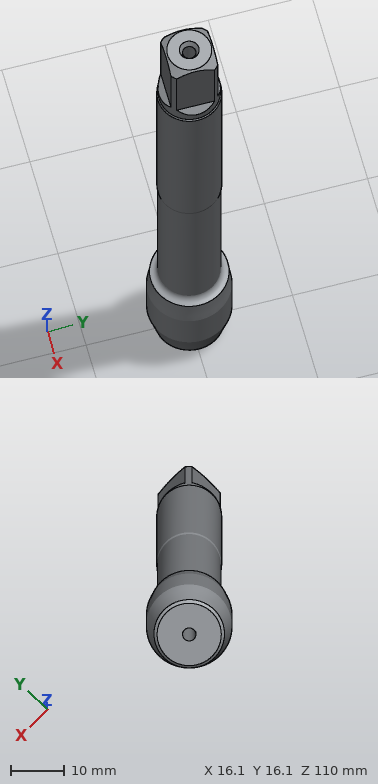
import cadquery as cq

total_length = 110.0
head_length = 20.0

head_radius = 16.06 / 2
head_tip_radius = 6.0
tip_chamfer_height = 0.5
lead_start_radius = 6.6
lead_top_z = 6.4
taper_bottom_z = 15.0
head_top_radius = 7.45

neck_radius = 11.89 / 2
neck_flare_top_z = 21.3
neck_flare_mid = (6.25, 20.68)
neck_flare_bottom = (6.9, 20.22)
grip_radius = 12.19 / 2
grip_bottom_z = 54.6
grip_top_z = 93.0
grip_bottom_chamfer = 0.7
grip_top_chamfer = 0.3
square_stock_radius = 11.7 / 2
end_chamfer_height = 1.5
end_chamfer_radial = 1.65

square_width = 9.1
square_length = 14.15
runout_length = 1.25

channel_diameter = 2.5
countersink_diameter = 3.7
countersink_angle = 60


def revolve_profile(profile):
    """Turn an (r, z) half profile about the Z axis."""
    return profile.close().revolve(360, (0, 0, 0), (0, 1, 0))


def make_head():
    """Barrel-shaped threading head with a tapered lead at its tip."""
    head = revolve_profile(
        cq.Workplane("XZ")
        .moveTo(0, 0)
        .lineTo(head_tip_radius, 0)
        .lineTo(lead_start_radius, tip_chamfer_height)
        .lineTo(head_radius, lead_top_z)
        .lineTo(head_radius, taper_bottom_z)
        .lineTo(head_top_radius, head_length)
        .lineTo(0, head_length)
    )
    channel = cq.Workplane("XY").circle(channel_diameter / 2).extrude(head_length)
    return head.cut(channel)


def make_flat_cutter():
    """Stock to remove beside the +X flat, with a sloped run-out below it."""
    flat = square_width / 2
    shoulder_z = total_length - square_length
    outer = 2 * flat
    runout_slope = runout_length / (square_stock_radius - flat)
    return (
        cq.Workplane("XZ")
        .moveTo(flat, total_length)
        .lineTo(flat, shoulder_z)
        .lineTo(outer, shoulder_z - runout_slope * (outer - flat))
        .lineTo(outer, total_length)
        .close()
        .extrude(grip_radius, both=True)
    )


def make_shank():
    """Neck, grip and driving square, standing on the head."""
    shank = revolve_profile(
        cq.Workplane("XZ")
        .moveTo(0, head_length)
        .lineTo(head_top_radius, head_length)
        .lineTo(*neck_flare_bottom)
        .threePointArc(neck_flare_mid, (neck_radius, neck_flare_top_z))
        .lineTo(neck_radius, grip_bottom_z)
        .lineTo(grip_radius, grip_bottom_z + grip_bottom_chamfer)
        .lineTo(grip_radius, grip_top_z - grip_top_chamfer)
        .lineTo(square_stock_radius, grip_top_z)
        .lineTo(square_stock_radius, total_length - end_chamfer_height)
        .lineTo(square_stock_radius - end_chamfer_radial, total_length)
        .lineTo(0, total_length)
    )
    cutter = make_flat_cutter()
    for quarter in range(4):
        shank = shank.cut(cutter.rotate((0, 0, 0), (0, 0, 1), 90 * quarter))
    top_face = shank.faces(">Z").workplane()
    return top_face.cskHole(channel_diameter, countersink_diameter, countersink_angle)


head = make_head()
shank = make_shank()
result = cq.Compound.makeCompound([head.val(), shank.val()])